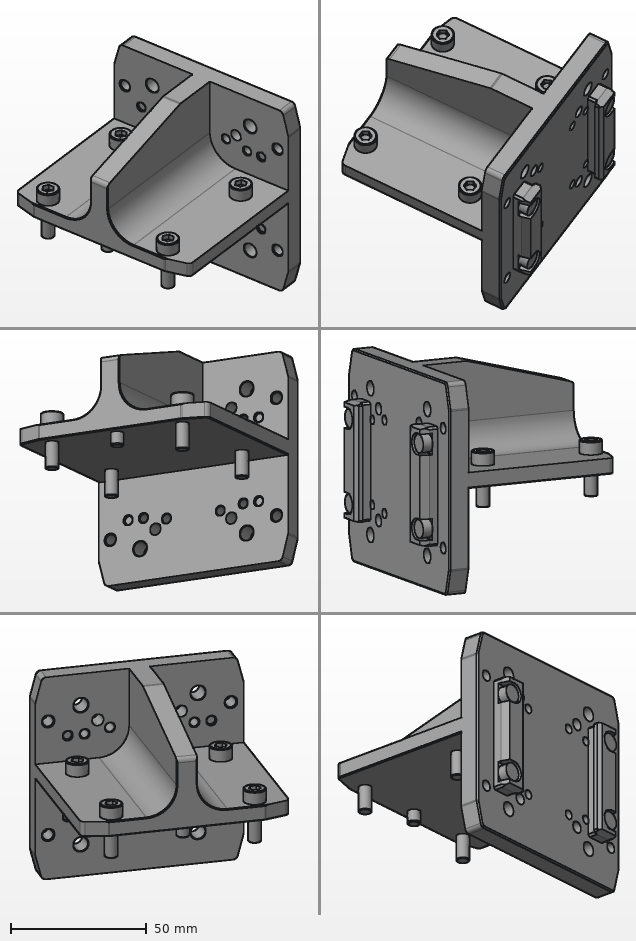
import cadquery as cq
import math


PLATE_SIZE = 80.0
PLATE_THICKNESS = 8.0
SHELF_DEPTH = 63.0
SHELF_THICKNESS = 6.0
PLATE_BACK = SHELF_DEPTH + PLATE_THICKNESS

TAPER_ANGLE = math.radians(15)
CORNER_RUN = 10.0
CORNER_SETBACK = CORNER_RUN * math.tan(TAPER_ANGLE)
CORNER_RADIUS = 2.0
PLATE_EDGE_BREAK = 0.6
SHELF_EDGE_BREAK = 0.4
FRONT_EDGE_BREAK = 0.4

RIB_WIDTH = 8.0
RIB_SLOPE_DEPTH = 45.0
RIB_TOP = PLATE_SIZE / 2
RIB_FRONT_TOP = RIB_TOP - RIB_SLOPE_DEPTH * math.tan(TAPER_ANGLE)
RIB_FILLET = 11.5

BIG_HOLE = (22.5, 27.5, 5.5, 6.0)
MIDDLE_HOLE = (16.0, 21.0, 4.5)
SMALL_HOLE = (11.4, 17.5, 3.5, 4.0)
OUTER_HOLE = (35.0, 22.5, 4.2, 5.0)
NUT_SCREW_X = 27.5
NUT_SCREW_Z = 16.0
NUT_SHANK_DIAMETER = 3.3
INNER_HOLE = (21.0, NUT_SCREW_Z, 3.3, 4.0)
NUT_HOLE = (NUT_SCREW_X, NUT_SCREW_Z, NUT_SHANK_DIAMETER, 4.0)

SCREW_X = 27.5
SCREW_ROWS = (5.5, 50.5)
SCREW_DIAMETER = 5.0
SCREW_LENGTH = 16.0
SCREW_END_BREAK = 0.3
HEAD_DIAMETER = 8.5
HEAD_HEIGHT = 5.0
HEAD_BREAK = 0.4
SOCKET_FLATS = 4.0
SOCKET_DIAMETER = SOCKET_FLATS / math.cos(math.radians(30))
SOCKET_DEPTH = 2.0
SOCKET_TIP_ANGLE = math.radians(30)
PIN_DIAMETER = 5.0
PIN_LENGTH = 5.0
PIN_BREAK = 0.5

NUT_HEIGHT = 7.0
NUT_NECK_HEIGHT = 3.5
NUT_OUTER_X = 30.9
NUT_INNER_X = 22.3
NUT_TOP_OUTER_X = 29.9
NUT_NOSE_X = 21.0
NUT_NOSE_BOTTOM = 3.9
NUT_NOSE_TOP = NUT_HEIGHT - (NUT_INNER_X - NUT_NOSE_X)
NUT_HALF_LENGTH = 22.4
NUT_CORNER_BREAK = 0.9
NUT_END_TAPER = 0.7
NUT_SLOT_WIDTH = 8.0
NUT_SLOT_FLOOR = 2.2
NUT_HEAD_DIAMETER = 7.0
NUT_HEAD_HEIGHT = 3.9
NUT_SHANK_RECESS = 0.7


def cylinder_z(diameter, bottom, height):
    """Vertical cylinder on the Z axis."""
    return cq.Workplane("XY").workplane(offset=bottom).circle(diameter / 2).extrude(height)


def along_y(start_y):
    """XZ workplane at the given Y whose extrusions run toward -Y."""
    return cq.Workplane("XZ", origin=(0, start_y, 0))


def in_quadrants(x, z):
    """The four mirrored copies of a place on the plate."""
    return [(sx * x, sz * z) for sx in (-1, 1) for sz in (-1, 1)]


def make_plate():
    half = PLATE_SIZE / 2
    right_side = [
        (half - CORNER_SETBACK, half),
        (half, half - CORNER_RUN),
        (half, CORNER_RUN - half),
        (half - CORNER_SETBACK, -half),
    ]
    left_side = [(-x, z) for x, z in reversed(right_side)]
    plate = along_y(PLATE_BACK).polyline(right_side + left_side).close().extrude(PLATE_THICKNESS)
    plate = plate.edges("|Y").fillet(CORNER_RADIUS)
    return plate.faces(">Y").chamfer(PLATE_EDGE_BREAK)


def make_tee_bar():
    """Shelf and rib as one straight bar with the upper front edges broken."""
    half_shelf = PLATE_SIZE / 2
    half_rib = RIB_WIDTH / 2
    arc_end_x = half_rib + RIB_FILLET
    arc_end_z = SHELF_THICKNESS + RIB_FILLET
    arc_inset = RIB_FILLET * (1 - math.sqrt(0.5))
    arc_middle_x = half_rib + arc_inset
    arc_middle_z = SHELF_THICKNESS + arc_inset
    bar = (
        along_y(SHELF_DEPTH)
        .moveTo(-half_shelf, 0)
        .lineTo(-half_shelf, SHELF_THICKNESS)
        .lineTo(-arc_end_x, SHELF_THICKNESS)
        .threePointArc((-arc_middle_x, arc_middle_z), (-half_rib, arc_end_z))
        .lineTo(-half_rib, RIB_TOP)
        .lineTo(half_rib, RIB_TOP)
        .lineTo(half_rib, arc_end_z)
        .threePointArc((arc_middle_x, arc_middle_z), (arc_end_x, SHELF_THICKNESS))
        .lineTo(half_shelf, SHELF_THICKNESS)
        .lineTo(half_shelf, 0)
        .close()
        .extrude(SHELF_DEPTH)
    )
    rib_front_edges = bar.faces("<Y").edges("|Z").edges(">Z")
    return rib_front_edges.chamfer(FRONT_EDGE_BREAK)


def make_shelf_with_rib():
    """Tee bar trimmed to the clipped shelf outline and the sloped rib outline."""
    half = PLATE_SIZE / 2
    plan = [
        (half, SHELF_DEPTH),
        (half, CORNER_SETBACK),
        (half - CORNER_RUN, 0),
        (CORNER_RUN - half, 0),
        (-half, CORNER_SETBACK),
        (-half, SHELF_DEPTH),
    ]
    shelf_outline = cq.Workplane("XY").polyline(plan).close().extrude(RIB_TOP)
    shelf_outline = shelf_outline.edges("|Z and (not >Y)").fillet(CORNER_RADIUS)
    side = [
        (0, 0),
        (SHELF_DEPTH, 0),
        (SHELF_DEPTH, RIB_TOP),
        (RIB_SLOPE_DEPTH, RIB_TOP),
        (0, RIB_FRONT_TOP),
    ]
    rib_outline = cq.Workplane("YZ").polyline(side).close().extrude(half, both=True)
    slope_edges = rib_outline.faces(">Z").edges("<Y").add(rib_outline.faces("<Y").edges(">Z"))
    rib_outline = slope_edges.fillet(CORNER_RADIUS)
    body = make_tee_bar().intersect(shelf_outline).intersect(rib_outline)
    return body.faces("<Z").edges("not >Y").chamfer(SHELF_EDGE_BREAK)


def make_cap_screw():
    """Socket head screw whose head rests on the shelf."""
    head_top = SHELF_THICKNESS + HEAD_HEIGHT
    head = cylinder_z(HEAD_DIAMETER, SHELF_THICKNESS, HEAD_HEIGHT).faces(">Z").chamfer(HEAD_BREAK)
    shank = cylinder_z(SCREW_DIAMETER, SHELF_THICKNESS - SCREW_LENGTH, SCREW_LENGTH)
    shank = shank.faces("<Z").chamfer(SCREW_END_BREAK)
    socket = cq.Workplane("XY").workplane(offset=head_top - SOCKET_DEPTH)
    socket = socket.polygon(6, SOCKET_DIAMETER).extrude(SOCKET_DEPTH)
    tip_radius = SOCKET_FLATS / 2
    tip = cq.Solid.makeCone(
        tip_radius, 0, tip_radius * math.tan(SOCKET_TIP_ANGLE),
        pnt=cq.Vector(0, 0, head_top - SOCKET_DEPTH), dir=cq.Vector(0, 0, -1),
    )
    return head.union(shank).cut(socket).cut(cq.Workplane(tip))


def make_pin():
    pin = cylinder_z(PIN_DIAMETER, -PIN_LENGTH, PIN_LENGTH + SHELF_THICKNESS / 2)
    return pin.faces("<Z").chamfer(PIN_BREAK)


def make_left_nut():
    """Hooked nut with a slot and a round screw head near each end."""
    length = 2 * NUT_HALF_LENGTH
    neck = (
        along_y(PLATE_BACK + NUT_NECK_HEIGHT)
        .center(-(NUT_OUTER_X + NUT_INNER_X) / 2, 0)
        .rect(NUT_OUTER_X - NUT_INNER_X, length)
        .extrude(NUT_NECK_HEIGHT)
        .edges("|Y")
        .chamfer(NUT_CORNER_BREAK)
    )
    hook_section = [
        (-NUT_OUTER_X, NUT_NECK_HEIGHT),
        (-NUT_INNER_X, NUT_NECK_HEIGHT),
        (-NUT_INNER_X, NUT_NOSE_BOTTOM),
        (-NUT_NOSE_X, NUT_NOSE_BOTTOM),
        (-NUT_NOSE_X, NUT_NOSE_TOP),
        (-NUT_INNER_X, NUT_HEIGHT),
        (-NUT_TOP_OUTER_X, NUT_HEIGHT),
    ]
    hook = cq.Workplane("XY", origin=(0, PLATE_BACK, 0)).polyline(hook_section).close()
    hook = hook.extrude(NUT_HALF_LENGTH, both=True)
    corner_block = (
        along_y(PLATE_BACK + NUT_HEIGHT)
        .center(-(NUT_OUTER_X + NUT_NOSE_X) / 2, 0)
        .rect(NUT_OUTER_X - NUT_NOSE_X, length)
        .extrude(NUT_HEIGHT)
        .edges("|Y")
        .chamfer(NUT_CORNER_BREAK)
    )
    top_half_length = NUT_HALF_LENGTH - NUT_END_TAPER
    taper_side = [
        (NUT_NECK_HEIGHT, -NUT_HALF_LENGTH),
        (NUT_NECK_HEIGHT, NUT_HALF_LENGTH),
        (NUT_HEIGHT, top_half_length),
        (NUT_HEIGHT, -top_half_length),
    ]
    end_taper = cq.Workplane("YZ", origin=(0, PLATE_BACK, 0)).polyline(taper_side).close()
    end_taper = end_taper.extrude(-NUT_OUTER_X)
    nut = neck.union(hook.intersect(corner_block).intersect(end_taper))
    slot_depth = NUT_HEIGHT - NUT_SLOT_FLOOR
    for z in (-NUT_SCREW_Z, NUT_SCREW_Z):
        top = along_y(PLATE_BACK + NUT_HEIGHT).center(-NUT_SCREW_X, z)
        round_end = top.circle(NUT_SLOT_WIDTH / 2).extrude(slot_depth)
        open_end = top.center(-NUT_SLOT_WIDTH / 2, 0).rect(NUT_SLOT_WIDTH, NUT_SLOT_WIDTH)
        open_end = open_end.extrude(slot_depth)
        head = along_y(PLATE_BACK + NUT_SLOT_FLOOR + NUT_HEAD_HEIGHT).center(-NUT_SCREW_X, z)
        head = head.circle(NUT_HEAD_DIAMETER / 2).extrude(NUT_HEAD_HEIGHT)
        nut = nut.cut(round_end).cut(open_end).union(head)
    return nut


def drill(body, x, z, diameter):
    """Four plain through holes in the plate."""
    holes = along_y(PLATE_BACK).pushPoints(in_quadrants(x, z)).circle(diameter / 2)
    return body.cut(holes.extrude(PLATE_THICKNESS))


def drill_countersunk(body, x, z, diameter, mouth_diameter):
    """Four through holes with a 45 degree countersink at the front."""
    sink = (mouth_diameter - diameter) / 2
    body = drill(body, x, z, diameter)
    for hole_x, hole_z in in_quadrants(x, z):
        cone = cq.Solid.makeCone(
            mouth_diameter / 2, diameter / 2, sink,
            pnt=cq.Vector(hole_x, SHELF_DEPTH, hole_z), dir=cq.Vector(0, 1, 0),
        )
        body = body.cut(cq.Workplane(cone))
    return body


bracket = make_shelf_with_rib()
plate = make_plate()
plate = drill(plate, *MIDDLE_HOLE)
for hole in (BIG_HOLE, SMALL_HOLE, OUTER_HOLE, INNER_HOLE, NUT_HOLE):
    plate = drill_countersunk(plate, *hole)
nut_shanks = (
    along_y(PLATE_BACK)
    .pushPoints(in_quadrants(NUT_SCREW_X, NUT_SCREW_Z))
    .circle(NUT_SHANK_DIAMETER / 2)
    .extrude(PLATE_THICKNESS - NUT_SHANK_RECESS)
)
bracket = bracket.union(plate).union(nut_shanks)

screw = make_cap_screw()
for row in SCREW_ROWS:
    for screw_x in (-SCREW_X, SCREW_X):
        bracket = bracket.union(screw.translate((screw_x, row, 0)))
bracket = bracket.union(make_pin().translate((0, SCREW_ROWS[0], 0)))

left_nut = make_left_nut()
result = bracket.union(left_nut).union(left_nut.mirror("YZ"))